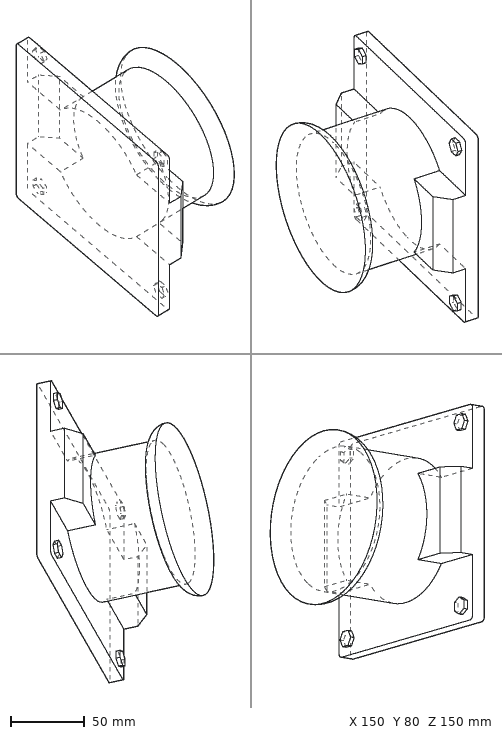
import cadquery as cq

plate_side = 150.0
plate_thickness = 10.0
plate_corner_radius = 3.0

total_depth = 80.0
drum_radius = 50.0
rim_radius = 10.0

block_length = 35.0
block_depth = 20.0
block_height = 60.0
block_chamfer = 10.0

bolt_count = 4
bolt_offset = 63.85
bolt_corner_diameter = 12.0
bolt_head_height = 3.0

half_side = plate_side / 2


def make_plate():
    plate = cq.Workplane("XY").box(
        plate_side, plate_thickness, plate_side, centered=(True, False, True)
    )
    return plate.edges("|Y").fillet(plate_corner_radius)


def make_drum():
    """Revolve the drum and its quarter-round rim about the Y axis."""
    rim_start = total_depth - rim_radius
    profile = (
        cq.Workplane("YZ")
        .lineTo(0, drum_radius)
        .lineTo(rim_start, drum_radius)
        .radiusArc((total_depth, drum_radius + rim_radius), rim_radius)
        .lineTo(total_depth, 0)
        .close()
    )
    return profile.revolve(360, (0, 0, 0), (1, 0, 0))


def make_block(side):
    """Chamfered block on the -X (side = -1) or +X (side = 1) edge, rooted in the plate."""
    block_top = plate_thickness + block_depth
    inner_x = side * (half_side - block_length)
    outer_x = side * half_side
    outline = [
        (inner_x, plate_thickness),
        (outer_x, plate_thickness),
        (outer_x, block_top - block_chamfer),
        (outer_x - side * block_chamfer, block_top),
        (inner_x, block_top),
    ]
    return cq.Workplane("XY").polyline(outline).close().extrude(block_height / 2, both=True)


def make_bolt_head():
    """Hexagonal head at the -X, +Z corner of the plate, with a hexagon corner pointing along X."""
    head = cq.Workplane("XZ").polygon(6, bolt_corner_diameter).extrude(-bolt_head_height)
    return head.translate((-bolt_offset, plate_thickness, bolt_offset))


result = make_plate().union(make_drum())
for side in (-1, 1):
    result = result.union(make_block(side))
for index in range(bolt_count):
    turn = index * 360 / bolt_count
    result = result.union(make_bolt_head().rotate((0, 0, 0), (0, 1, 0), turn))